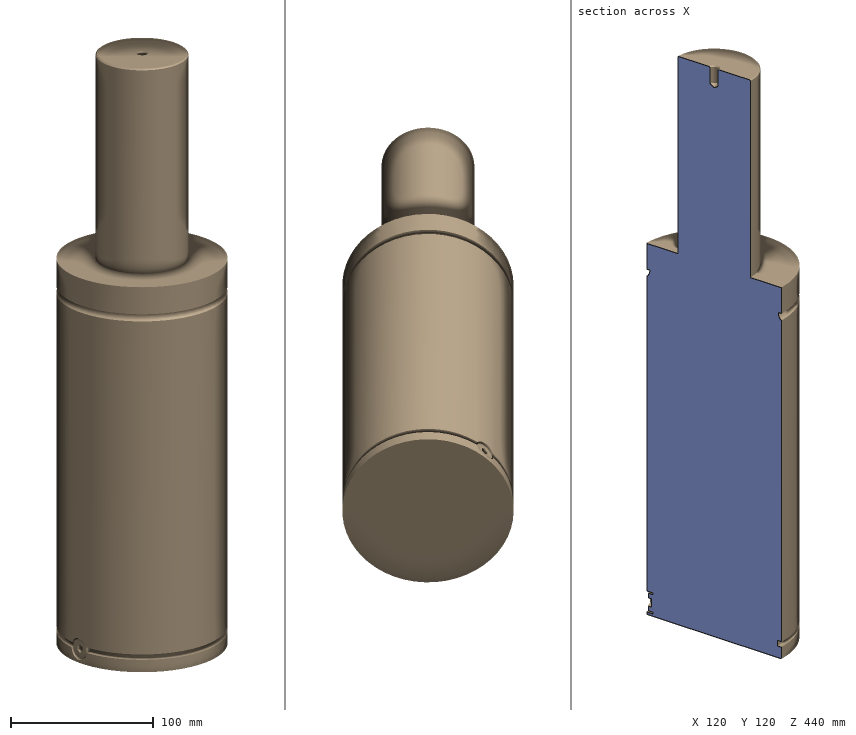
import cadquery as cq
import math

total_height = 440.0
body_diameter = 120.0
rod_diameter = 65.0
body_height = 287.5
rod_edge_chamfer = 1.0

head_height = 20.2
head_groove_height = 5.5
head_groove_depth = 2.5

base_groove_bottom = 9.2
base_groove_height = 4.0
base_groove_depth = 3.5

rod_hole_diameter = 6.5
rod_hole_mouth_diameter = 8.5
rod_hole_depth = 13.0
drill_point_angle = 118.0
rod_hole_chamfer = (rod_hole_mouth_diameter - rod_hole_diameter) / 2

port_diameter = 16.0
port_height = 10.0
port_depth = 5.5
plug_diameter = 14.0
plug_recess = 1.5
socket_across_flats = 5.5
socket_depth = 2.5

body_radius = body_diameter / 2
rod_radius = rod_diameter / 2


def make_cylinder_and_rod():
    """Revolve the half section of the grooved body and its rod about Z."""
    base_floor_radius = body_radius - base_groove_depth
    base_groove_top = base_groove_bottom + base_groove_height
    head_floor_radius = body_radius - head_groove_depth
    head_bottom = body_height - head_height
    groove_bottom = head_bottom - head_groove_height
    head_groove_radius = (head_groove_height**2 + head_groove_depth**2) / (2 * head_groove_depth)
    profile = (
        cq.Workplane("XZ")
        .lineTo(body_radius, 0)
        .lineTo(body_radius, base_groove_bottom)
        .lineTo(base_floor_radius, base_groove_bottom)
        .lineTo(base_floor_radius, base_groove_top)
        .lineTo(body_radius, base_groove_top)
        .lineTo(body_radius, groove_bottom)
        .radiusArc((head_floor_radius, head_bottom), head_groove_radius)
        .lineTo(body_radius, head_bottom)
        .lineTo(body_radius, body_height)
        .lineTo(rod_radius, body_height)
        .lineTo(rod_radius, total_height - rod_edge_chamfer)
        .lineTo(rod_radius - rod_edge_chamfer, total_height)
        .lineTo(0, total_height)
        .close()
    )
    return profile.revolve(360, (0, 0, 0), (0, 1, 0))


def make_rod_hole():
    """Blind drilled hole with a chamfered mouth and a conical end."""
    cone_depth = rod_hole_diameter / 2 / math.tan(math.radians(drill_point_angle / 2))
    half_section = [
        (0, total_height),
        (rod_hole_mouth_diameter / 2, total_height),
        (rod_hole_diameter / 2, total_height - rod_hole_chamfer),
        (rod_hole_diameter / 2, total_height - rod_hole_depth),
        (0, total_height - rod_hole_depth - cone_depth),
    ]
    return cq.Workplane("XZ").polyline(half_section).close().revolve(360, (0, 0, 0), (0, 1, 0))


def make_port_cylinder(diameter, recess):
    """Disc along Y from the port floor out to the given recess below the body surface."""
    axis_plane = cq.Workplane("XZ", origin=(0, port_depth - body_radius, port_height))
    return axis_plane.circle(diameter / 2).extrude(port_depth - recess)


def make_socket():
    """Hexagon socket sunk into the plug face, with one corner pointing up."""
    across_corners = socket_across_flats / math.cos(math.radians(30))
    floor_y = plug_recess + socket_depth - body_radius
    socket_plane = cq.Workplane("XZ", origin=(0, floor_y, port_height))
    return socket_plane.transformed(rotate=(0, 0, 30)).polygon(6, across_corners).extrude(socket_depth)


port = make_port_cylinder(port_diameter, 0)
plug = make_port_cylinder(plug_diameter, plug_recess).cut(make_socket())
result = make_cylinder_and_rod().cut(make_rod_hole()).cut(port).union(plug)